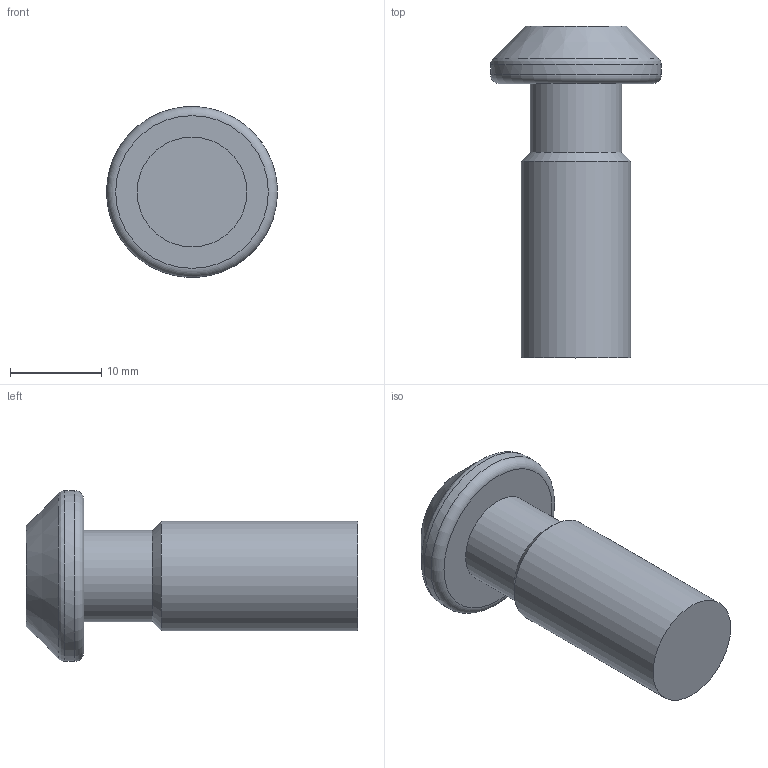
import cadquery as cq
import math

head_diameter = 18.7
head_height = 6.3
rim_height = 2.5
cone_angle = 45.0
rim_fillet = 1.0
neck_diameter = 10.0
neck_length = 7.5
shank_diameter = 12.0
shank_length = 22.5

head_radius = head_diameter / 2
cone_height = head_height - rim_height
head_top_radius = head_radius - cone_height * math.tan(math.radians(cone_angle))
shoulder_chamfer = (shank_diameter - neck_diameter) / 2


def make_head():
    """Round head standing on Y = 0: a rim with rounded edges, then a cone with a flat top."""
    profile = (
        cq.Workplane("XY")
        .lineTo(head_radius, 0)
        .lineTo(head_radius, rim_height)
        .lineTo(head_top_radius, head_height)
        .lineTo(0, head_height)
        .close()
    )
    head = profile.revolve(360, (0, 0, 0), (0, 1, 0))
    return head.edges("%CIRCLE and (not >Y)").fillet(rim_fillet)


def make_stem():
    """Neck below the head, widening through a chamfered shoulder into the shank."""
    neck = cq.Workplane("XZ").circle(neck_diameter / 2).extrude(neck_length)
    shank = (
        cq.Workplane("XZ", origin=(0, -neck_length, 0))
        .circle(shank_diameter / 2)
        .extrude(shank_length)
        .edges(">Y")
        .chamfer(shoulder_chamfer)
    )
    return neck.union(shank)


result = make_head().union(make_stem())